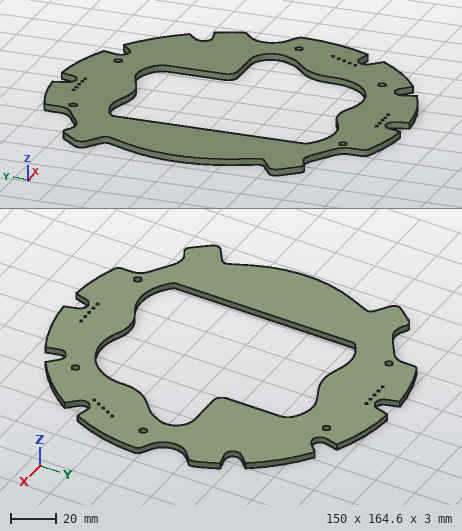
import cadquery as cq
import math

overall_width = 164.6
thickness = 3.0
notch_mouth_half_width = 5.6
rim_radius = math.hypot(overall_width / 2, notch_mouth_half_width)
cut_margin = 16.5

shoulder_x = -32.0
shoulder_radius = 3.0
belly = (-73.5, 0.0, 64.2)
upper_ear = [
    (-57.1, 37.2, 3.0),
    (-69.0, 45.3, 3.5),
    (-58.6, 57.8, 2.8),
    (-50.7, 52.4, 9.0),
    (shoulder_x, 64.9, 7.9),
]

window_left = -33.9
window_right = 30.1
window_step_y = 10.2
window_corners = [
    (window_left, -48.5, 1.3),
    (window_left, 43.1, 1.3),
    (-24.9, 50.2, 18.1),
    (-2.8, 43.3, 19.8),
    (18.0, 52.7, 14.5),
    (window_right, 45.8, 7.7),
    (window_right, window_step_y, 4.5),
    (66.2, window_step_y, 9.5),
    (56.5, -8.9, 13.2),
    (43.5, -20.9, 19.8),
    (43.5, -67.3, 22.2),
    (2.5, -47.3, 16.8),
    (-20.1, -61.7, 21.5),
]

notch_angles = [90, 60, 30, -30, -60, -90]
notch_center_radius = 77.2
notch_floor_radius = 4.0

scallop_vertex = (63.9, 9.7)
scallop_radius = 10.5
scallop_rim_angles = [-0.5, 16.5]
scallop_lip_radius = 2.8

mount_circle_radius = 69.8
mount_angles = [113.8, 66.5, -4.4, -51.9, -113.8]
mount_diameter = 3.5
pin_diameter = 1.0
pin_pitch = 3.6
pins_per_row = 5
pin_rows = [
    (-4.3, 70.1, 0.0),
    (4.0, -70.1, 0.0),
    (63.5, -29.1, 63.4),
]


def polar(radius, angle):
    """Point at a radius and an angle in degrees about the plate centre."""
    return (radius * math.cos(math.radians(angle)), radius * math.sin(math.radians(angle)))


def corner_arc(before, corner, after):
    """Start, middle and end of the arc that rounds a corner between two neighbours."""
    x, y, radius = corner
    to_before = cq.Vector(before[0] - x, before[1] - y).normalized()
    to_after = cq.Vector(after[0] - x, after[1] - y).normalized()
    half_angle = to_before.getAngle(to_after) / 2
    tangent_length = radius / math.tan(half_angle)
    middle_distance = radius / math.sin(half_angle) - radius
    vertex = cq.Vector(x, y)
    start = vertex + to_before * tangent_length
    middle = vertex + (to_before + to_after).normalized() * middle_distance
    end = vertex + to_after * tangent_length
    return start.toTuple()[:2], middle.toTuple()[:2], end.toTuple()[:2]


def rounded_prism(corners):
    """Plate-thick prism on a closed polygon; a corner of radius zero stays sharp."""
    outline = cq.Workplane("XY")
    for index, corner in enumerate(corners):
        before = corners[index - 1]
        after = corners[(index + 1) % len(corners)]
        start, middle, end = corner_arc(before, corner, after)
        outline = outline.moveTo(*start) if index == 0 else outline.lineTo(*start)
        if corner[2] > 0:
            outline = outline.threePointArc(middle, end)
    return outline.close().extrude(thickness)


def plate_blank():
    """Round disc trimmed on the left to the belly, ears and shoulders."""
    reach = rim_radius + cut_margin
    lower_ear = [(x, -y, radius) for x, y, radius in reversed(upper_ear)]
    trim_corners = [belly] + upper_ear
    trim_corners += [(shoulder_x, reach, 0), (reach, reach, 0)]
    trim_corners += [(reach, -reach, 0), (shoulder_x, -reach, 0)]
    trim_corners += lower_ear
    disc = cq.Workplane("XY").circle(rim_radius).extrude(thickness)
    return disc.intersect(rounded_prism(trim_corners))


def scallop():
    """Rounded wedge opening outward through the right-hand rim."""
    stretch = 2.0
    sides = []
    for angle in scallop_rim_angles:
        rim_x, rim_y = polar(rim_radius, angle)
        side_x = scallop_vertex[0] + stretch * (rim_x - scallop_vertex[0])
        side_y = scallop_vertex[1] + stretch * (rim_y - scallop_vertex[1])
        sides.append((side_x, side_y, 0))
    return rounded_prism([(*scallop_vertex, scallop_radius)] + sides)


def round_rim_corner(body, point, radius):
    """Round the upright edge nearest to a point on the rim."""
    nearest = cq.selectors.NearestToPointSelector((*point, thickness / 2))
    return body.edges("|Z").edges(nearest).fillet(radius)


def rim_notch(angle):
    """Notch cutter pointing outward at an angle in degrees."""
    mouth_rise = overall_width / 2 - notch_center_radius
    mouth_distance = math.hypot(notch_mouth_half_width, mouth_rise)
    mouth_bearing = math.atan2(notch_mouth_half_width, mouth_rise)
    flare = mouth_bearing - math.asin(notch_floor_radius / mouth_distance)
    wall_x = notch_floor_radius * math.cos(flare)
    wall_y = notch_center_radius - notch_floor_radius * math.sin(flare)
    mouth_y = rim_radius + cut_margin
    mouth_x = wall_x + (mouth_y - wall_y) * math.tan(flare)
    outline = (
        cq.Workplane("XY")
        .moveTo(-mouth_x, mouth_y)
        .lineTo(-wall_x, wall_y)
        .threePointArc((0, notch_center_radius - notch_floor_radius), (wall_x, wall_y))
        .lineTo(mouth_x, mouth_y)
        .close()
    )
    return outline.extrude(thickness).rotate((0, 0, 0), (0, 0, 1), angle - 90)


def pin_points():
    """Centres of the small pin holes in all rows."""
    points = []
    for row_x, row_y, direction in pin_rows:
        for index in range(pins_per_row):
            step_x, step_y = polar((index - (pins_per_row - 1) / 2) * pin_pitch, direction)
            points.append((row_x + step_x, row_y + step_y))
    return points


def round_holes(points, diameter):
    """Cylinders through the plate at the given points."""
    return cq.Workplane("XY").pushPoints(points).circle(diameter / 2).extrude(thickness)


body = plate_blank().cut(scallop())

shoulder_y = math.sqrt(rim_radius**2 - shoulder_x**2)
for side in (1, -1):
    body = round_rim_corner(body, (shoulder_x, side * shoulder_y), shoulder_radius)
for lip_angle in scallop_rim_angles:
    body = round_rim_corner(body, polar(rim_radius, lip_angle), scallop_lip_radius)

body = body.cut(rounded_prism(window_corners))
for notch_angle in notch_angles:
    body = body.cut(rim_notch(notch_angle))

mount_points = [polar(mount_circle_radius, angle) for angle in mount_angles]
body = body.cut(round_holes(mount_points, mount_diameter))
result = body.cut(round_holes(pin_points(), pin_diameter))